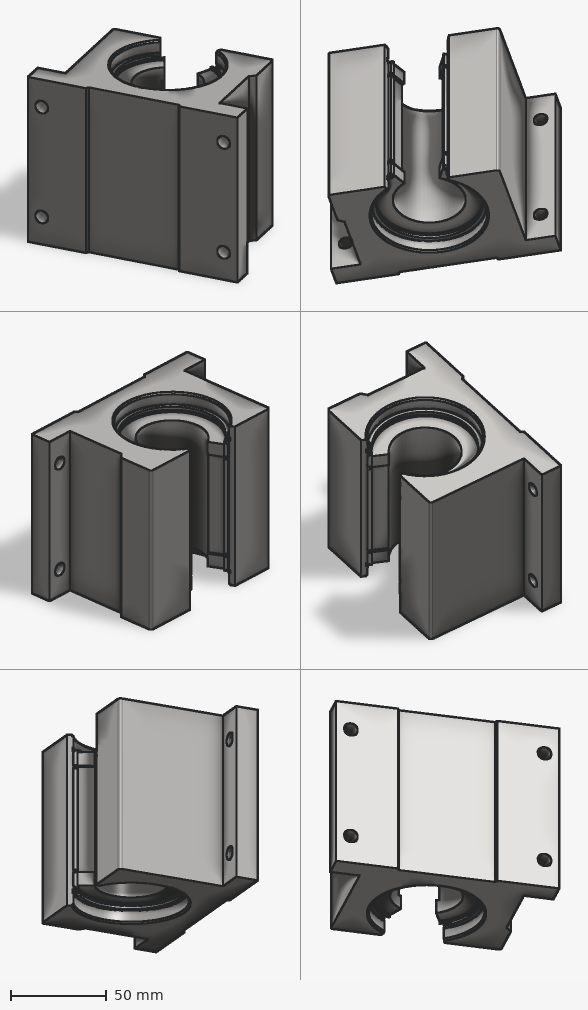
import cadquery as cq
import math


length = 95.2
flange_width = 120.6
total_height = 73.0
base_y = -44.3
top_y = base_y + total_height
flange_thickness = 12.5
body_half_width = 44.4
ledge_width = 3.3
ledge_bottom_y = 7.4
ledge_slope = 2.7
top_edge_round = 1.5

relief_half_width = 26.8
relief_depth = 1.6
relief_bevel = 1.0

hole_diameter = 7.2
hole_half_pitch_x = 52.4
hole_half_pitch_z = 31.7

bore_radius = 30.3
bore_chamfer = 1.0
opening_half_angle = 25.2
housing_opening = 3.9
bearing_opening = 1.7
ball_track_opening = bearing_opening + 1.8

ring_depth = 7.1
ring_thickness = 1.8
ring_inner_radius = 27.9
ring_outer_radius = 30.9
ring_end_y = 21.5
ring_tip_round = 0.5
ring_z = length / 2 - ring_depth - ring_thickness / 2
ring_middles = (-ring_z, ring_z)

sleeve_length = 76.6
sleeve_inner_radius = 28.0
sleeve_chamfer = 1.1
sleeve_groove_offset = 8.3
sleeve_groove_width = 1.7
sleeve_groove_depth = 1.2

retainer_recess = 1.1
retainer_length = sleeve_length - 2 * retainer_recess
retainer_inner_radius = 19.1
retainer_rim = 7.6


def cylinder(radius, height, middle_z=0):
    """Cylinder on the shaft axis, centred on middle_z."""
    bottom = middle_z - height / 2
    return cq.Workplane("XY").workplane(offset=bottom).circle(radius).extrude(height)


def tube(outer_radius, inner_radius, height, middle_z=0):
    return cylinder(outer_radius, height, middle_z).cut(cylinder(inner_radius, height, middle_z))


def opening_wedge(half_width, height):
    """Flaring wedge that opens a ring-shaped part toward +Y."""
    reach = 2 * bore_radius
    outer_half_width = half_width + reach * math.tan(math.radians(opening_half_angle))
    return (
        cq.Workplane("XY")
        .workplane(offset=-height / 2)
        .polyline([
            (-half_width, 0),
            (half_width, 0),
            (outer_half_width, reach),
            (-outer_half_width, reach),
        ])
        .close()
        .extrude(height)
    )


def housing_block():
    """Flanged block with the ledge on its +X side."""
    flange_top = base_y + flange_thickness
    half_flange = flange_width / 2
    ledge_x = body_half_width + ledge_width
    block = (
        cq.Workplane("XY")
        .workplane(offset=-length / 2)
        .polyline([
            (-half_flange, base_y),
            (half_flange, base_y),
            (half_flange, flange_top),
            (body_half_width, flange_top),
            (body_half_width, ledge_bottom_y - ledge_slope),
            (ledge_x, ledge_bottom_y),
            (ledge_x, top_y),
            (-body_half_width, top_y),
            (-body_half_width, flange_top),
            (-half_flange, flange_top),
        ])
        .close()
        .extrude(length)
    )
    return block.faces(">Y").edges("|Z").fillet(top_edge_round)


def mounting_relief():
    """Shallow channel along the mounting face, with bevelled upper corners."""
    channel = cq.Workplane("XY").box(2 * relief_half_width, relief_depth, length)
    channel = channel.faces(">Y").edges("|Z").chamfer(relief_bevel)
    return channel.translate((0, base_y + relief_depth / 2, 0))


def mounting_holes():
    return (
        cq.Workplane("XZ", origin=(0, base_y, 0))
        .rect(2 * hole_half_pitch_x, 2 * hole_half_pitch_z, forConstruction=True)
        .vertices()
        .circle(hole_diameter / 2)
        .extrude(-flange_thickness)
    )


def bore_cutter():
    """Bore that flares out by the chamfer at both housing ends."""
    half_length = length / 2
    mouth_radius = bore_radius + bore_chamfer
    return (
        cq.Workplane("XZ")
        .polyline([
            (0, -half_length),
            (mouth_radius, -half_length),
            (bore_radius, -half_length + bore_chamfer),
            (bore_radius, half_length - bore_chamfer),
            (mouth_radius, half_length),
            (0, half_length),
        ])
        .close()
        .revolve(360, (0, 0), (0, 1))
    )


def make_housing():
    housing = housing_block().cut(mounting_relief()).cut(mounting_holes())
    housing = housing.cut(bore_cutter())
    for middle_z in ring_middles:
        housing = housing.cut(cylinder(ring_outer_radius, ring_thickness, middle_z))
    return housing.cut(opening_wedge(housing_opening, length))


def make_ring(middle_z):
    """Open retaining ring, seated in a groove of the housing bore."""
    ring = tube(ring_outer_radius, ring_inner_radius, ring_thickness, middle_z)
    gap = (
        cq.Workplane("XY", origin=(0, ring_end_y, middle_z))
        .box(2 * ring_outer_radius, ring_outer_radius, ring_thickness, centered=(True, False, True))
    )
    ring = ring.cut(gap)
    tip_x = math.sqrt(ring_inner_radius**2 - ring_end_y**2)
    for side in (-1, 1):
        tip_edge = cq.selectors.NearestToPointSelector((side * tip_x, ring_end_y, middle_z))
        ring = ring.edges("|Z").edges(tip_edge).fillet(ring_tip_round)
    return ring


def make_sleeve():
    """Outer bearing shell with two snap-ring grooves."""
    sleeve = cylinder(bore_radius, sleeve_length).edges().chamfer(sleeve_chamfer)
    sleeve = sleeve.cut(cylinder(sleeve_inner_radius, sleeve_length))
    groove_z = sleeve_length / 2 - sleeve_groove_offset - sleeve_groove_width / 2
    groove_floor = bore_radius - sleeve_groove_depth
    for middle_z in (-groove_z, groove_z):
        sleeve = sleeve.cut(tube(bore_radius, groove_floor, sleeve_groove_width, middle_z))
    return sleeve.cut(opening_wedge(bearing_opening, sleeve_length))


def make_retainer():
    """Ball retainer inside the sleeve; its opening is wider between the two end rims."""
    retainer = tube(sleeve_inner_radius, retainer_inner_radius, retainer_length)
    retainer = retainer.cut(opening_wedge(bearing_opening, retainer_length))
    track_length = retainer_length - 2 * retainer_rim
    return retainer.cut(opening_wedge(ball_track_opening, track_length))


housing = make_housing()
rings = [make_ring(middle_z) for middle_z in ring_middles]
sleeve = make_sleeve()
retainer = make_retainer()

result = cq.Compound.makeCompound([
    housing.val(),
    *[ring.val() for ring in rings],
    sleeve.val(),
    retainer.val(),
])